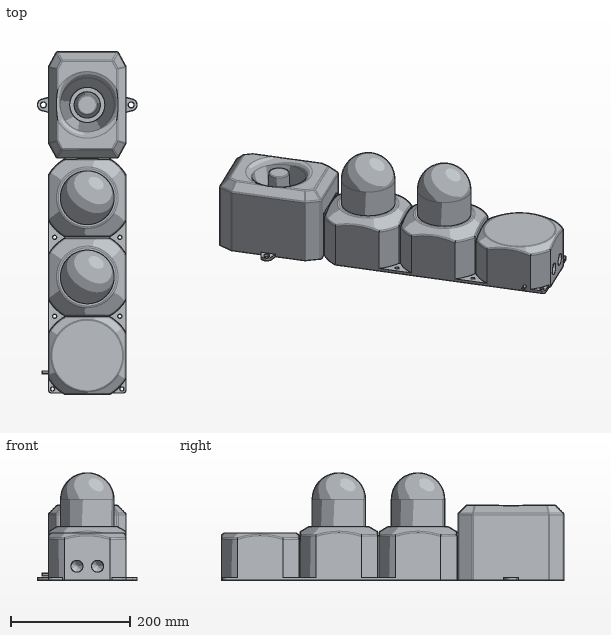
import cadquery as cq
import math


HOUSING_WIDTH = 130.0
LAMP_PITCH = 132.6
FLAT_WIDTH = 76.0
LID_SLOPE = 30.0
LID_EDGE_FILLET = 3.0
SELECT_MARGIN = 1.0
TERMINAL_HEIGHT = 79.3
TERMINAL_RIM_RADIUS = 60.0
TERMINAL_RIM_FILLET = 3.0
LAMP_HEIGHT = 90.0
LAMP_RIM_RADIUS = 50.2
LAMP_RIM_FILLET = 6.0
HALF_WIDTH = HOUSING_WIDTH / 2
CORNER_RADIUS = math.hypot(HALF_WIDTH, FLAT_WIDTH / 2)
TERMINAL_Y = HALF_WIDTH
FIRST_LAMP_Y = 196.6
LAMP_CENTERS_Y = [FIRST_LAMP_Y, FIRST_LAMP_Y + LAMP_PITCH]
GAPS_Y = [(TERMINAL_Y + FIRST_LAMP_Y) / 2, FIRST_LAMP_Y + LAMP_PITCH / 2]

DOME_RADIUS = 45.0
DOME_ROOT_Z = 50.0
TOTAL_HEIGHT = 180.0

ENTRY_RADIUS = 10.0
ENTRY_SPACING = 34.5
ENTRY_Z = 23.5
ENTRY_DEPTH = 8.0
PIN_RADIUS = 2.5
PIN_LENGTH = 10.5
PIN_Y = 37.0
PIN_Z = 9.5

PLATE_THICKNESS = 5.0
PLATE_START_Y = 2.2
PLATE_CORNER_RADIUS = 5.0
PLATE_HOLE_DIAMETER = 6.5
END_HOLE_X = 58.0
END_HOLE_Y = 9.0
GAP_HOLE_X = 54.7

SIREN_WIDTH = 130.0
SIREN_LENGTH = 178.0
SIREN_END_Y = 573.7
SIREN_HEIGHT = 126.0
SIREN_CORNER_X = 13.5
SIREN_CORNER_Y = 25.0
SIREN_BEVEL = 14.7
SIREN_EDGE_FILLET = 4.0
SIREN_Y = SIREN_END_Y - SIREN_LENGTH / 2
SIREN_START_Y = SIREN_END_Y - SIREN_LENGTH

MOUTH_RADIUS = 55.8
THROAT_RADIUS = 45.3
MOUTH_DEPTH = 10.0
MOUTH_FLARE_RADIUS = 12.0
HORN_FLOOR_RADIUS = 29.4
HORN_DEPTH = 100.0
PLUG_BASE_RADIUS = 22.0
PLUG_TOP_RADIUS = 16.9
PLUG_RECESS = 1.0
PLUG_FILLET = 1.8

EAR_SPAN = 166.97
EAR_RADIUS = 10.0
EAR_HOLE_DIAMETER = 9.5
EAR_ROOT_WIDTH = 25.2
EAR_X = EAR_SPAN / 2 - EAR_RADIUS

SPACER_LENGTH = 5.0
LAMP_SPACER_HEIGHT = 75.0
TERMINAL_SPACER_HEIGHT = 65.0
SIREN_SPACER_HEIGHT = 80.0


def housing(center_y, height, rim_radius, rim_fillet):
    """Square body with round corners under a conical lid."""
    cone_drop = (CORNER_RADIUS - rim_radius) * math.tan(math.radians(LID_SLOPE))
    turned = (
        cq.Workplane("XZ")
        .moveTo(0, 0)
        .lineTo(CORNER_RADIUS, 0)
        .lineTo(CORNER_RADIUS, height - cone_drop)
        .lineTo(rim_radius, height)
        .lineTo(0, height)
        .close()
        .revolve(360, (0, 0, 0), (0, 1, 0))
    )
    square = cq.Workplane("XY").box(HOUSING_WIDTH, HOUSING_WIDTH, height, centered=(True, True, False))
    body = turned.intersect(square)
    body = body.faces(">Z").edges().fillet(rim_fillet)
    cone_base = cq.selectors.BoxSelector(
        (-HOUSING_WIDTH, -HOUSING_WIDTH, height - cone_drop - SELECT_MARGIN),
        (HOUSING_WIDTH, HOUSING_WIDTH, height - SELECT_MARGIN),
        boundingbox=True,
    )
    body = body.edges(cone_base).fillet(LID_EDGE_FILLET)
    return body.translate((0, center_y, 0))


def dome(center_y):
    """Cylindrical lamp lens with a hemispherical end."""
    spring_height = TOTAL_HEIGHT - DOME_RADIUS
    return (
        cq.Workplane("XZ")
        .moveTo(0, DOME_ROOT_Z)
        .lineTo(DOME_RADIUS, DOME_ROOT_Z)
        .lineTo(DOME_RADIUS, spring_height)
        .radiusArc((0, TOTAL_HEIGHT), -DOME_RADIUS)
        .close()
        .revolve(360, (0, 0, 0), (0, 1, 0))
        .translate((0, center_y, 0))
    )


def spacer(center_y, height):
    """Block as wide as the housing flats, filling the gap around center_y."""
    return (
        cq.Workplane("XY")
        .box(FLAT_WIDTH, SPACER_LENGTH, height, centered=(True, True, False))
        .translate((0, center_y, 0))
    )


def base_plate():
    end_y = LAMP_CENTERS_Y[-1]
    length = end_y - PLATE_START_Y
    places = [(END_HOLE_X, END_HOLE_Y)] + [(GAP_HOLE_X, y) for y in GAPS_Y]
    holes = [(side * x, y) for x, y in places for side in (-1, 1)]
    return (
        cq.Workplane("XY")
        .box(HOUSING_WIDTH, length, PLATE_THICKNESS, centered=(True, False, False))
        .translate((0, PLATE_START_Y, 0))
        .edges("|Z and <Y")
        .fillet(PLATE_CORNER_RADIUS)
        .cut(
            cq.Workplane("XY")
            .pushPoints(holes)
            .circle(PLATE_HOLE_DIAMETER / 2)
            .extrude(PLATE_THICKNESS)
        )
    )


def siren_box():
    """Box with cut corners, bevelled all round the top."""
    half_x = SIREN_WIDTH / 2
    half_y = SIREN_LENGTH / 2
    cut_x = half_x - SIREN_CORNER_X
    cut_y = half_y - SIREN_CORNER_Y
    outline = [
        (half_x, -cut_y), (half_x, cut_y), (cut_x, half_y), (-cut_x, half_y),
        (-half_x, cut_y), (-half_x, -cut_y), (-cut_x, -half_y), (cut_x, -half_y),
    ]
    return (
        cq.Workplane("XY")
        .polyline(outline)
        .close()
        .extrude(SIREN_HEIGHT)
        .faces(">Z")
        .chamfer(SIREN_BEVEL)
        .edges("not <Z")
        .fillet(SIREN_EDGE_FILLET)
        .translate((0, SIREN_Y, 0))
    )


def horn():
    """Ring-shaped hollow left between the flared horn wall and the central plug."""
    floor_z = SIREN_HEIGHT - HORN_DEPTH
    throat_z = SIREN_HEIGHT - MOUTH_DEPTH
    plug_z = SIREN_HEIGHT - PLUG_RECESS
    hollow = (
        cq.Workplane("XZ")
        .moveTo(0, floor_z)
        .lineTo(HORN_FLOOR_RADIUS, floor_z)
        .lineTo(THROAT_RADIUS, throat_z)
        .radiusArc((MOUTH_RADIUS, SIREN_HEIGHT), MOUTH_FLARE_RADIUS)
        .lineTo(0, SIREN_HEIGHT)
        .close()
        .revolve(360, (0, 0, 0), (0, 1, 0))
    )
    plug = (
        cq.Workplane("XZ")
        .moveTo(0, floor_z)
        .lineTo(PLUG_BASE_RADIUS, floor_z)
        .lineTo(PLUG_TOP_RADIUS, plug_z)
        .lineTo(0, plug_z)
        .close()
        .revolve(360, (0, 0, 0), (0, 1, 0))
        .faces(">Z")
        .edges()
        .fillet(PLUG_FILLET)
    )
    return hollow.cut(plug).translate((0, SIREN_Y, 0))


def ear(side):
    """Mounting ear on the side of the siren given by the sign of side."""
    root_x = SIREN_WIDTH / 2
    half_root = EAR_ROOT_WIDTH / 2
    reach = EAR_X - root_x
    distance = math.hypot(reach, half_root)
    angle = math.atan2(half_root, -reach) - math.acos(EAR_RADIUS / distance)
    touch_x = EAR_X + EAR_RADIUS * math.cos(angle)
    touch_y = EAR_RADIUS * math.sin(angle)
    lobe = (
        cq.Workplane("XY")
        .moveTo(0, -half_root)
        .lineTo(root_x, -half_root)
        .lineTo(touch_x, -touch_y)
        .threePointArc((EAR_X + EAR_RADIUS, 0), (touch_x, touch_y))
        .lineTo(root_x, half_root)
        .lineTo(0, half_root)
        .close()
        .extrude(PLATE_THICKNESS)
        .faces(">Z")
        .workplane(origin=(EAR_X, 0, 0))
        .hole(EAR_HOLE_DIAMETER)
    )
    if side < 0:
        lobe = lobe.mirror("YZ")
    return lobe.translate((0, SIREN_Y, 0))


def cable_entry(x):
    """Conical recess in the -Y face of the terminal housing."""
    cone = cq.Solid.makeCone(
        ENTRY_RADIUS, 0, ENTRY_DEPTH, pnt=cq.Vector(x, 0, ENTRY_Z), dir=cq.Vector(0, 1, 0)
    )
    return cq.Workplane(obj=cone)


def earth_pin():
    return (
        cq.Workplane("YZ", origin=(-HALF_WIDTH - PIN_LENGTH, 0, 0))
        .center(PIN_Y, PIN_Z)
        .circle(PIN_RADIUS)
        .extrude(2 * PIN_LENGTH)
    )


result = base_plate()
result = result.union(housing(TERMINAL_Y, TERMINAL_HEIGHT, TERMINAL_RIM_RADIUS, TERMINAL_RIM_FILLET))
for lamp_y in LAMP_CENTERS_Y:
    result = result.union(housing(lamp_y, LAMP_HEIGHT, LAMP_RIM_RADIUS, LAMP_RIM_FILLET))
    result = result.union(dome(lamp_y))
result = result.union(siren_box())
result = result.union(spacer(GAPS_Y[0], TERMINAL_SPACER_HEIGHT))
result = result.union(spacer(GAPS_Y[1], LAMP_SPACER_HEIGHT))
result = result.union(spacer(SIREN_START_Y, SIREN_SPACER_HEIGHT))
for ear_side in (-1, 1):
    result = result.union(ear(ear_side))
result = result.cut(horn())
for entry_side in (-1, 1):
    result = result.cut(cable_entry(entry_side * ENTRY_SPACING / 2))
result = result.union(earth_pin())